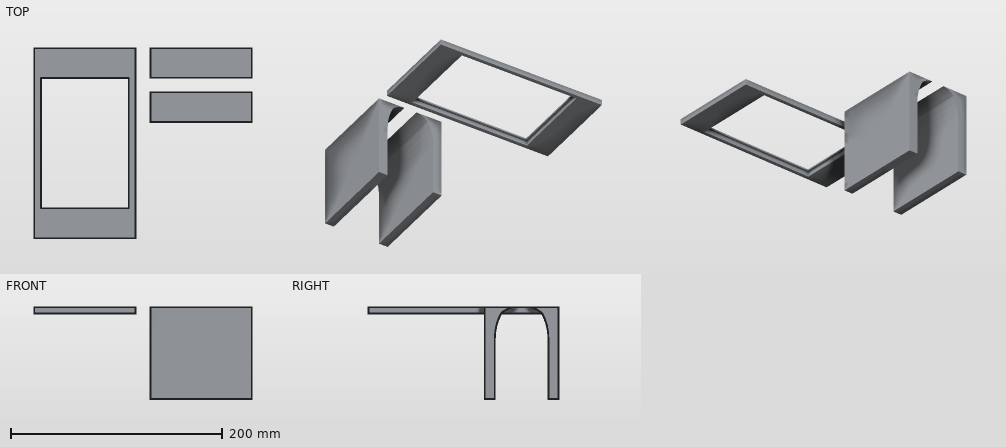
import cadquery as cq
import math

width = 96.0
height = 87.0
body_gap = 14.02

frame_length = 180.0
frame_thickness = 6.0
end_depth = 28.5
rail_width = 6.5
lip_thickness = 1.5
lip_overhang = 2.5

arch_span = 70.0
leg_thickness = 9.75
shelf_depth = 28.25
shelf_edge = 0.1
side_radius = 50.0
crown_radius = 19.0
spring_drop = 29.5
kink_drop = 5.8
side_rise = spring_drop - kink_drop
kink_depth = leg_thickness + side_radius - math.sqrt(side_radius**2 - side_rise**2)


def make_frame():
    """Flat frame with a stepped opening: a thin inner lip along its top edge."""
    plate = cq.Workplane("XY").box(width, frame_length, frame_thickness)
    opening_width = width - 2 * rail_width
    opening_length = frame_length - 2 * end_depth
    opening = cq.Workplane("XY").box(opening_width, opening_length, frame_thickness)
    recess_height = frame_thickness - lip_thickness
    recess = (
        cq.Workplane("XY")
        .box(opening_width + 2 * lip_overhang, opening_length + 2 * lip_overhang, recess_height)
        .translate((0, 0, -lip_thickness / 2))
    )
    center = (-body_gap - width / 2, -frame_length / 2, height - frame_thickness / 2)
    return plate.cut(opening).cut(recess).translate(center)


def make_arch_half():
    """Upright leg with its outer face on Y = 0, curving out toward -Y into a shelf."""
    return (
        cq.Workplane("YZ")
        .moveTo(0, 0)
        .lineTo(0, height)
        .lineTo(-shelf_depth, height)
        .lineTo(-shelf_depth, height - shelf_edge)
        .radiusArc((-kink_depth, height - kink_drop), crown_radius)
        .radiusArc((-leg_thickness, height - spring_drop), side_radius)
        .lineTo(-leg_thickness, 0)
        .close()
        .extrude(width)
    )


frame = make_frame()
back_half = make_arch_half()
front_half = make_arch_half().mirror("XZ").translate((0, -arch_span, 0))

result = cq.Compound.makeCompound([frame.val(), back_half.val(), front_half.val()])